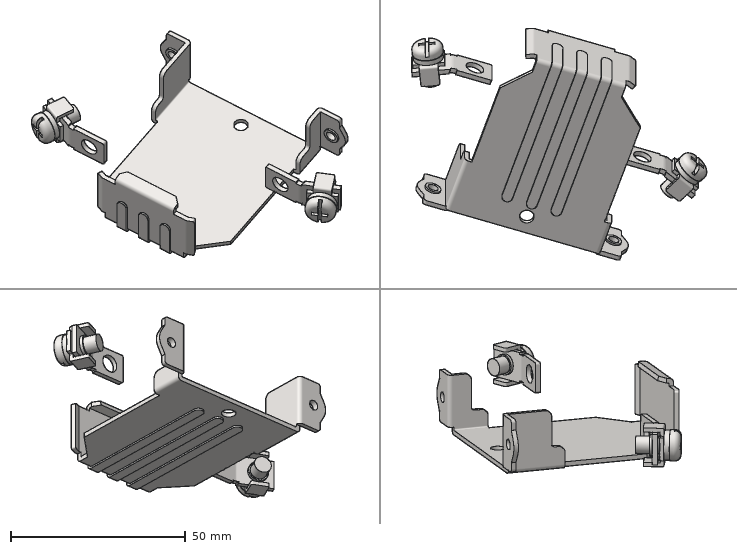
import cadquery as cq
import math

SHEET = 1.4
BEND = 1.2
INNER_BEND = 0.4

PLATE_BACK = 55.3
PLATE_HALF_WIDTH = 21.2
TAPER_START_Y = 12.15
TAPER_END_Y = 4.2
PLATE_HOLE_Y = 50.1
PLATE_HOLE_RADIUS = 2.1

WALL_OUTER_X = 23.4
WALL_TOP = 17.8
WALL_STEP_Z = 6.8
WALL_ROUND = 2.0
WALL_STEP_ROUND = 0.9
LEFT_WALL_FRONT = 38.0
LEFT_WALL_STEP = 42.0
RIGHT_WALL_FRONT = 44.7
RIGHT_WALL_STEP = 49.8

EAR_BACK = 56.8
EAR_BOTTOM = 2.3
EAR_EDGE_X = 29.9
EAR_CORNER_ROUND = 0.9
EAR_HOLE_X = 27.3
EAR_HOLE_RADIUS = 1.5
EAR_BULGE_RADIUS = 4.6
EAR_BULGE_SLOPE = math.radians(30)
EAR_BOSS_RADIUS = 2.4
EAR_BOSS_HEIGHT = 0.6

TAB_X = -0.6
NECK_HALF_WIDTH = 13.5
TAB_BOTTOM = 2.8
TAB_BEND_HALF_WIDTH = 14.5
WING_LENGTH = 2.4
WING_ANGLE = math.radians(22)
WING_BEND = 1.5
WING_CORNER_ROUND = 0.5
LIP_HALF_WIDTH = 10.1
LIP_CORNER_Z = 19.8
LIP_LENGTH = 4.05
LIP_ANGLE = math.radians(12)
LIP_CHAMFER = 2.0

RIB_PITCH = 7.4
RIB_HALF_WIDTH = 1.6
RIB_HEIGHT = 0.6
RIB_TOP = 11.7
RIB_BACK = 47.0

LUG_THICKNESS = 1.5
LUG_HALF_WIDTH = 4.5
LUG_FLAT_LENGTH = 12.0
LUG_TIP_LENGTH = 11.8
LUG_ANGLE = 24
LUG_BEND = 2.6
LUG_END_ROUND = 0.7
LUG_HOLE_FROM_END = 5.2
LUG_HOLE_RADIUS = 2.6
LUG_NOTCH_START = 10.55
LUG_NOTCH_LENGTH = 1.9
LUG_NOTCH_DEPTH = 0.6

SCREW_FROM_BEND = 6.8
SHANK_RADIUS = 2.5
SHANK_TIP = 6.5
COLLAR_RADIUS = 3.0
COLLAR_TOP = 2.45

CLAMP_GAP = 0.7
CLAMP_PLATE_THICKNESS = 1.1
CLAMP_SIDE_THICKNESS = 1.2
CLAMP_BEND = 0.6
CLAMP_TIP_ROUND = 0.6
CLAMP_TONGUE_HALF_LENGTH = 4.6
CLAMP_TONGUE_HALF_WIDTH = 3.4
CLAMP_SIDE_HALF_LENGTH = 2.7
CLAMP_SIDE_TOP = 4.2

WASHER_RADIUS = 4.3
WASHER_THICKNESS = 1.6
HEAD_RADIUS = 4.5
HEAD_HEIGHT = 3.1
HEAD_ROUND = 1.7
SLOT_WIDTH = 1.0
SLOT_DEPTH = 1.9
CROSS_LENGTH = 4.7

TERMINALS = [(-23.3, 13.3, 9.6, -1), (22.1, 28.6, 14.4, 1)]


def block(x0, x1, y0, y1, z0, z1):
    """Box between two opposite corners."""
    return cq.Workplane("XY").box(x1 - x0, y1 - y0, z1 - z0, centered=False).translate((x0, y0, z0))


def base_plate():
    wall_inner = WALL_OUTER_X - SHEET
    outline = [
        (-wall_inner, PLATE_BACK),
        (-wall_inner, LEFT_WALL_FRONT),
        (-PLATE_HALF_WIDTH, LEFT_WALL_FRONT),
        (-PLATE_HALF_WIDTH, TAPER_START_Y),
        (TAB_X - NECK_HALF_WIDTH, TAPER_END_Y),
        (TAB_X - NECK_HALF_WIDTH, SHEET),
        (TAB_X + NECK_HALF_WIDTH, SHEET),
        (TAB_X + NECK_HALF_WIDTH, TAPER_END_Y),
        (PLATE_HALF_WIDTH, TAPER_START_Y),
        (PLATE_HALF_WIDTH, RIGHT_WALL_FRONT),
        (wall_inner, RIGHT_WALL_FRONT),
        (wall_inner, PLATE_BACK),
    ]
    plate = cq.Workplane("XY").polyline(outline).close().extrude(SHEET)
    hole = cq.Workplane("XY").center(TAB_X, PLATE_HOLE_Y).circle(PLATE_HOLE_RADIUS).extrude(SHEET)
    return plate.cut(hole)


def bend_fillet(x, y0, y1):
    """Concave fillet strip along Y between the plate top and the wall face at x > 0."""
    corner = block(x - INNER_BEND, x, y0, y1, SHEET, SHEET + INNER_BEND)
    round_cut = (
        cq.Workplane("XZ", origin=(x - INNER_BEND, y1, SHEET + INNER_BEND))
        .circle(INNER_BEND)
        .extrude(y1 - y0)
    )
    return corner.cut(round_cut)


def ear():
    """Ear plate in the XZ plane on the +X side, with its bulge around the raised screw hole."""
    hole_z = (WALL_TOP + EAR_BOTTOM) / 2
    front = EAR_BACK - SHEET
    plate = block(WALL_OUTER_X - SHEET, EAR_EDGE_X, front, EAR_BACK, EAR_BOTTOM, WALL_TOP)
    plate = plate.edges("|Y and >X").fillet(EAR_CORNER_ROUND)
    plate = plate.edges("|Z and <X and >Y").fillet(BEND)
    tangent_x = EAR_HOLE_X + EAR_BULGE_RADIUS * math.cos(EAR_BULGE_SLOPE)
    tangent_z = EAR_BULGE_RADIUS * math.sin(EAR_BULGE_SLOPE)
    root_z = tangent_z + (tangent_x - EAR_EDGE_X) / math.tan(EAR_BULGE_SLOPE)
    bulge = (
        cq.Workplane("XZ", origin=(0, EAR_BACK, hole_z))
        .moveTo(EAR_EDGE_X, -root_z)
        .lineTo(tangent_x, -tangent_z)
        .threePointArc((EAR_HOLE_X + EAR_BULGE_RADIUS, 0), (tangent_x, tangent_z))
        .lineTo(EAR_EDGE_X, root_z)
        .lineTo(EAR_HOLE_X, root_z)
        .lineTo(EAR_HOLE_X, -root_z)
        .close()
        .extrude(SHEET)
    )
    axis = cq.Workplane("XZ", origin=(EAR_HOLE_X, EAR_BACK, hole_z))
    boss = axis.circle(EAR_BOSS_RADIUS).extrude(SHEET + EAR_BOSS_HEIGHT)
    hole = axis.circle(EAR_HOLE_RADIUS).extrude(SHEET + EAR_BOSS_HEIGHT)
    return plate.union(bulge).union(boss).cut(hole)


def side_wall(front_y, step_y):
    """Side wall with its ear, on the +X side."""
    inner_x = WALL_OUTER_X - SHEET
    ear_front = EAR_BACK - SHEET
    profile = (
        cq.Workplane("YZ", origin=(inner_x, 0, 0))
        .moveTo(PLATE_BACK, 0)
        .lineTo(front_y, 0)
        .lineTo(front_y, WALL_STEP_Z - WALL_ROUND)
        .radiusArc((front_y + WALL_ROUND, WALL_STEP_Z), WALL_ROUND)
        .lineTo(step_y - WALL_STEP_ROUND, WALL_STEP_Z)
        .radiusArc((step_y, WALL_STEP_Z + WALL_STEP_ROUND), -WALL_STEP_ROUND)
        .lineTo(step_y, WALL_TOP - WALL_ROUND)
        .radiusArc((step_y + WALL_ROUND, WALL_TOP), WALL_ROUND)
        .lineTo(ear_front, WALL_TOP)
        .lineTo(ear_front, EAR_BOTTOM)
        .lineTo(PLATE_BACK, EAR_BOTTOM)
        .close()
    )
    wall = profile.extrude(SHEET).edges("|Y and <Z and >X").fillet(BEND)
    return wall.union(ear()).union(bend_fillet(inner_x, front_y, PLATE_BACK))


def front_tab():
    """Upright front tab with swept-back wings, centred on X = 0."""
    neck = block(-NECK_HALF_WIDTH, NECK_HALF_WIDTH, 0, SHEET, 0, TAB_BOTTOM)
    neck = neck.edges("|X and <Y and <Z").fillet(BEND)
    bend_x = TAB_BEND_HALF_WIDTH
    tip_x = bend_x + WING_LENGTH * math.cos(WING_ANGLE)
    tip_y = WING_LENGTH * math.sin(WING_ANGLE)
    back_tip_x = tip_x - SHEET * math.sin(WING_ANGLE)
    back_tip_y = tip_y + SHEET * math.cos(WING_ANGLE)
    back_bend_x = bend_x - SHEET * math.tan(WING_ANGLE / 2)
    right_half = [
        (bend_x, 0),
        (tip_x, tip_y),
        (back_tip_x, back_tip_y),
        (back_bend_x, SHEET),
    ]
    left_half = [(-x, y) for x, y in reversed(right_half)]
    panel = (
        cq.Workplane("XY", origin=(0, 0, TAB_BOTTOM))
        .polyline(right_half + left_half)
        .close()
        .extrude(WALL_TOP - TAB_BOTTOM)
    )
    mid_z = (WALL_TOP + TAB_BOTTOM) / 2
    for side in (-1, 1):
        bend_edge = cq.selectors.NearestToPointSelector((side * bend_x, 0, mid_z))
        panel = panel.edges(bend_edge).fillet(WING_BEND)
        for corner_z in (TAB_BOTTOM, WALL_TOP):
            corner = (side * (tip_x + back_tip_x) / 2, (tip_y + back_tip_y) / 2, corner_z)
            panel = panel.edges(cq.selectors.NearestToPointSelector(corner)).fillet(WING_CORNER_ROUND)
    return neck.union(panel)


def lip():
    """Top of the front tab, bent back over the plate, centred on X = 0."""
    end_y = LIP_LENGTH * math.cos(LIP_ANGLE)
    end_z = LIP_CORNER_Z + LIP_LENGTH * math.sin(LIP_ANGLE)
    under_z = LIP_CORNER_Z + SHEET * math.tan(LIP_ANGLE) - SHEET / math.cos(LIP_ANGLE)
    back_y = end_y + SHEET * math.sin(LIP_ANGLE)
    profile = [
        (0, WALL_TOP),
        (0, LIP_CORNER_Z),
        (end_y, end_z),
        (back_y, end_z - SHEET * math.cos(LIP_ANGLE)),
        (SHEET, under_z),
        (SHEET, WALL_TOP),
    ]
    strip = (
        cq.Workplane("YZ", origin=(-LIP_HALF_WIDTH, 0, 0))
        .polyline(profile)
        .close()
        .extrude(2 * LIP_HALF_WIDTH)
    )
    bend_edge = cq.selectors.NearestToPointSelector((0, 0, LIP_CORNER_Z))
    strip = strip.edges(bend_edge).fillet(BEND)
    plan = (
        cq.Workplane("XY", origin=(0, 0, WALL_TOP))
        .rect(2 * LIP_HALF_WIDTH, 2 * back_y)
        .extrude(end_z)
        .edges("|Z and >Y")
        .chamfer(LIP_CHAMFER)
    )
    return strip.intersect(plan)


def rib(x):
    """Raised rib running up the front tab and back under the plate, with round ends."""
    depth = RIB_HEIGHT + SHEET / 2
    length_up = RIB_TOP + RIB_HEIGHT
    length_back = RIB_BACK + RIB_HEIGHT
    profile = [
        (0, 0),
        (length_back, 0),
        (length_back, depth),
        (depth, depth),
        (depth, length_up),
        (0, length_up),
    ]
    end_round = 0.999 * RIB_HALF_WIDTH
    ell = (
        cq.Workplane("YZ", origin=(x - RIB_HALF_WIDTH, -RIB_HEIGHT, -RIB_HEIGHT))
        .polyline(profile)
        .close()
        .extrude(2 * RIB_HALF_WIDTH)
    )
    ell = ell.edges("|X and <Y and <Z").fillet(BEND)
    ell = ell.edges("|Y and >Z").fillet(end_round)
    return ell.edges("|Z and >Y").fillet(end_round)


def make_bracket():
    right_wall = side_wall(RIGHT_WALL_FRONT, RIGHT_WALL_STEP)
    left_wall = side_wall(LEFT_WALL_FRONT, LEFT_WALL_STEP).mirror("YZ")
    body = base_plate().union(right_wall).union(left_wall)
    body = body.union(front_tab().union(lip()).translate((TAB_X, 0, 0)))
    for step in (-1, 0, 1):
        body = body.union(rib(TAB_X + step * RIB_PITCH))
    return body


def lug():
    """Flat strip bent towards +Y, notched at the bend, with a hole in its straight part."""
    angle = math.radians(LUG_ANGLE)
    t = LUG_THICKNESS
    end_x = LUG_FLAT_LENGTH + LUG_TIP_LENGTH * math.cos(angle)
    end_y = LUG_TIP_LENGTH * math.sin(angle)
    inner_bend_x = LUG_FLAT_LENGTH - t * math.tan(angle / 2)
    profile = [
        (0, 0),
        (LUG_FLAT_LENGTH, 0),
        (end_x, end_y),
        (end_x - t * math.sin(angle), end_y + t * math.cos(angle)),
        (inner_bend_x, t),
        (0, t),
    ]
    strip = (
        cq.Workplane("XY", origin=(0, 0, -LUG_HALF_WIDTH))
        .polyline(profile)
        .close()
        .extrude(2 * LUG_HALF_WIDTH)
    )
    outer_edge = cq.selectors.NearestToPointSelector((LUG_FLAT_LENGTH, 0, 0))
    inner_edge = cq.selectors.NearestToPointSelector((inner_bend_x, t, 0))
    strip = strip.edges(outer_edge).fillet(LUG_BEND)
    strip = strip.edges(inner_edge).fillet(LUG_BEND - t)
    strip = strip.edges("|Y and <X").fillet(LUG_END_ROUND)
    hole = (
        cq.Workplane("XZ", origin=(LUG_HOLE_FROM_END, t, 0))
        .circle(LUG_HOLE_RADIUS)
        .extrude(t)
    )
    strip = strip.cut(hole)
    notch_end = LUG_NOTCH_START + LUG_NOTCH_LENGTH
    notch_floor = LUG_HALF_WIDTH - LUG_NOTCH_DEPTH
    notch = block(LUG_NOTCH_START, notch_end, -t, 2 * t, notch_floor, LUG_HALF_WIDTH)
    return strip.cut(notch).cut(notch.mirror("XY"))


def clamp():
    """Clamp plate in front of the lug with two sides folded back along the lug edges."""
    plate_back = -CLAMP_GAP
    plate_front = plate_back - CLAMP_PLATE_THICKNESS
    half_height = LUG_HALF_WIDTH + CLAMP_SIDE_THICKNESS
    half_length = CLAMP_SIDE_HALF_LENGTH
    channel = block(-half_length, half_length, plate_front, CLAMP_SIDE_TOP, -half_height, half_height)
    channel = channel.edges("|X and <Y").fillet(CLAMP_BEND)
    channel = channel.edges("|Z and >Y").fillet(CLAMP_TIP_ROUND)
    inside = block(-half_length, half_length, plate_back, CLAMP_SIDE_TOP, -LUG_HALF_WIDTH, LUG_HALF_WIDTH)
    tongue = block(
        -CLAMP_TONGUE_HALF_LENGTH, CLAMP_TONGUE_HALF_LENGTH,
        plate_front, plate_back,
        -CLAMP_TONGUE_HALF_WIDTH, CLAMP_TONGUE_HALF_WIDTH,
    )
    return channel.cut(inside).union(tongue)


def disc(radius, y_front, y_back):
    """Cylinder on the screw axis."""
    return cq.Workplane("XZ", origin=(0, y_back, 0)).circle(radius).extrude(y_back - y_front)


def screw():
    """Screw with a washer, a rounded head, and a slot crossed by a short recess."""
    clamp_front = -CLAMP_GAP - CLAMP_PLATE_THICKNESS
    washer_front = clamp_front - WASHER_THICKNESS
    head_front = washer_front - HEAD_HEIGHT
    head = disc(HEAD_RADIUS, head_front, washer_front).faces("<Y").edges().fillet(HEAD_ROUND)
    half_slot = SLOT_WIDTH / 2
    slot_floor = head_front + SLOT_DEPTH
    slot = block(-half_slot, half_slot, head_front, slot_floor, -HEAD_RADIUS, HEAD_RADIUS)
    cross = block(-CROSS_LENGTH / 2, CROSS_LENGTH / 2, head_front, slot_floor, -half_slot, half_slot)
    return (
        head.cut(slot)
        .cut(cross)
        .union(disc(WASHER_RADIUS, washer_front, clamp_front))
        .union(disc(SHANK_RADIUS, clamp_front, SHANK_TIP))
        .union(disc(COLLAR_RADIUS, 0, COLLAR_TOP))
    )


def make_terminal(end_x, face_y, centre_z, direction):
    tilted = (
        clamp()
        .union(screw())
        .translate((SCREW_FROM_BEND, 0, 0))
        .rotate((0, 0, 0), (0, 0, 1), LUG_ANGLE)
        .translate((LUG_FLAT_LENGTH, 0, 0))
    )
    terminal = lug().union(tilted)
    if direction < 0:
        terminal = terminal.mirror("YZ")
    return terminal.translate((end_x, face_y, centre_z))


bracket = make_bracket()
terminals = [make_terminal(*place) for place in TERMINALS]

result = cq.Compound.makeCompound([bracket.val(), *[terminal.val() for terminal in terminals]])